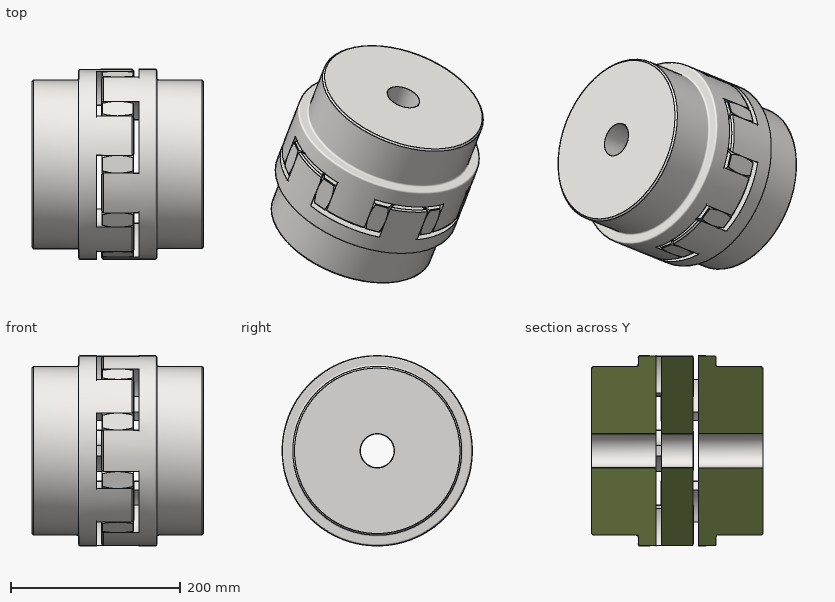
import cadquery as cq


coupling_length = 203.0
flange_radius = 112.5
boss_radius = 100.0
bore_radius = 20.0
flange_outer_x = 46.1
flange_inner_x = 25.0
edge_round = 2.0

claw_count = 5
claw_inner_radius = 70.0
claw_tip_x = 19.1
claw_tip_chamfer = 2.0
flank_radius = 46.5
flank_center_radius = 90.0
claw_step = 360.0 / claw_count
half_step = claw_step / 2
first_claw_angle = 180.0

leg_count = 2 * claw_count
leg_face_distance = 112.0
leg_half_width_x = 19.0
leg_crown = 2.5
leg_end_chamfer = 1.0


def disc(radius, x_start, x_end):
    """Solid cylinder on the X axis from x_start to x_end."""
    return cq.Workplane("YZ", origin=(x_start, 0, 0)).circle(radius).extrude(x_end - x_start)


def turned(body, angle):
    """Body turned about the X axis."""
    return body.rotate((0, 0, 0), (1, 0, 0), angle)


def make_clawed_flange():
    """Flange whose ring of claws points to -X, with flanks hollowed by a circle of cylinders."""
    flange = disc(flange_radius, -claw_tip_x, flange_outer_x)
    flange = flange.faces(">X").edges().fillet(edge_round)
    flange = flange.faces("<X").edges().chamfer(claw_tip_chamfer)
    flange = flange.cut(disc(claw_inner_radius, -claw_tip_x, flange_inner_x))
    cutter = disc(flank_radius, -claw_tip_x, flange_inner_x).translate((0, flank_center_radius, 0))
    for index in range(claw_count):
        flange = flange.cut(turned(cutter, first_claw_angle + half_step + index * claw_step))
    return flange


def make_hub():
    """The +X hub: clawed flange, boss, rounded corner between them, and bore."""
    boss = disc(boss_radius, flange_inner_x, coupling_length / 2).faces(">X").edges().chamfer(edge_round)
    hub = make_clawed_flange().union(boss)
    hub = hub.faces(">X[-2]").edges(cq.selectors.RadiusNthSelector(0)).fillet(edge_round)
    return hub.cut(disc(bore_radius, flange_inner_x, coupling_length / 2))


def make_barrel():
    """Crowned cylinder that touches a claw flank at mid length and narrows to both ends."""
    end_radius = flank_radius - leg_crown
    return (
        cq.Workplane("XY")
        .moveTo(-leg_half_width_x, 0)
        .lineTo(-leg_half_width_x, end_radius)
        .threePointArc((0, flank_radius), (leg_half_width_x, end_radius))
        .lineTo(leg_half_width_x, 0)
        .close()
        .revolve(360, (0, 0, 0), (1, 0, 0))
        .translate((0, flank_center_radius, 0))
    )


def make_spider():
    """Core disc with flat-ended crowned legs, each the overlap of two neighbouring barrels."""
    barrel = make_barrel()
    leg = barrel.intersect(turned(barrel, half_step))
    envelope = (
        cq.Workplane("XY")
        .box(2 * leg_half_width_x, leg_face_distance, 2 * flank_radius, centered=(True, False, True))
        .faces(">Y")
        .edges("|Z")
        .chamfer(leg_end_chamfer)
    )
    envelope = turned(envelope, half_step / 2)
    leg = leg.intersect(envelope)
    spider = disc(claw_inner_radius, -leg_half_width_x, leg_half_width_x)
    for index in range(leg_count):
        spider = spider.union(turned(leg, index * half_step))
    return spider.cut(disc(bore_radius, -leg_half_width_x, leg_half_width_x))


right_hub = make_hub()
left_hub = right_hub.rotate((0, 0, 0), (0, 0, 1), 180)
spider = make_spider()

result = cq.Compound.makeCompound([right_hub.val(), left_hub.val(), spider.val()])